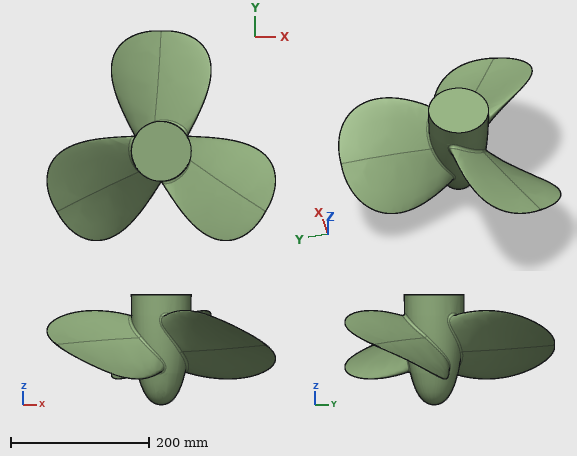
import cadquery as cq
import math

hub_radius = 43.45
hub_top = 72.6
hub_bottom = -87.0
side_pull_height = 1.3
nose_pull_radius = 38.0

blade_count = 3
tip_radius = 174.3
section_count = 16
half_chord_at_axis = 38.3
chord_growth = 0.860
closing_radius = 174.65
tip_rounding = 0.45
pitch_at_axis = 50.3
twist_rate = 0.1635
half_thickness_at_axis = 18.2
half_thickness_at_tip = 0.6
face_pull = 0.25
root_fillet = 3.5


def make_hub():
    side_curve = [
        (0, hub_bottom),
        (-nose_pull_radius, hub_bottom),
        (-hub_radius, side_pull_height),
        (-hub_radius, hub_top),
    ]
    profile = cq.Workplane("YZ").bezier(side_curve).lineTo(0, hub_top).close()
    return profile.revolve(360, (0, 0, 0), (0, 1, 0))


def blade_half_chord(radius):
    straight_taper = half_chord_at_axis + chord_growth * radius
    return straight_taper * (1 - radius / closing_radius) ** tip_rounding


def blade_half_thickness(radius):
    loss = half_thickness_at_axis - half_thickness_at_tip
    return half_thickness_at_axis - loss * radius / tip_radius


def blade_section(radius):
    """Slim oval across the blade, split in two at the middle of its upper and lower faces."""
    pitch = math.radians(pitch_at_axis - twist_rate * radius)
    half_chord = blade_half_chord(radius)
    half_thickness = blade_half_thickness(radius)
    centre = cq.Vector(0, radius, 0)
    along = cq.Vector(math.cos(pitch), 0, math.sin(pitch)) * half_chord
    across = cq.Vector(-math.sin(pitch), 0, math.cos(pitch)) * half_thickness

    edge_pull = (1 - face_pull / 2) * 8 / 3
    halves = []
    for side in (1, -1):
        controls = [
            across * side,
            along * (side * face_pull) + across * side,
            along * (side * edge_pull),
            along * (side * face_pull) - across * side,
            across * -side,
        ]
        halves.append(cq.Edge.makeBezier([centre + point for point in controls]))
    return cq.Wire.assembleEdges(halves)


def make_blade():
    steps = [math.pi / 2 * index / (section_count - 1) for index in range(section_count)]
    sections = [blade_section(tip_radius * math.sin(step)) for step in steps]
    return cq.Workplane(cq.Solid.makeLoft(sections))


def round_blade_roots(body):
    root_edges = [
        edge
        for edge in body.edges("%BSPLINE").vals()
        if math.hypot(edge.Center().x, edge.Center().y) < hub_radius
    ]
    return body.newObject(root_edges).fillet(root_fillet)


def make_propeller():
    body = make_hub()
    blade = make_blade()
    for index in range(blade_count):
        body = body.union(blade.rotate((0, 0, 0), (0, 0, 1), index * 360 / blade_count))
    return round_blade_roots(body)


result = make_propeller()